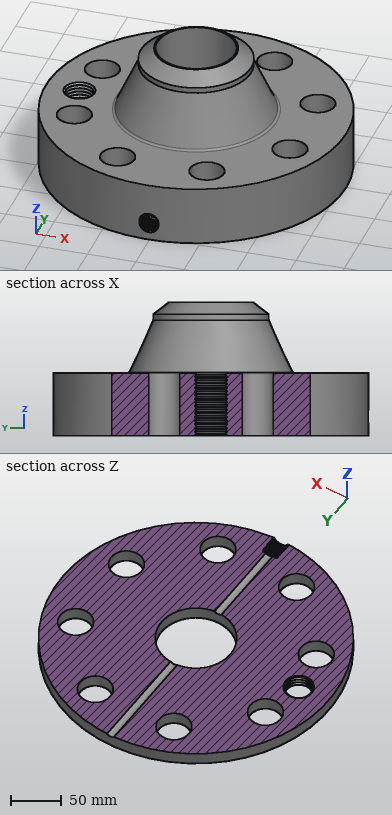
import cadquery as cq
import math

INCH = 25.4

flange_diameter = 12.25 * INCH
flange_thickness = 62.0
bore_diameter = 80.06

overall_height = 131.88
hub_base_diameter = 162.0
neck_diameter = 4.5 * INCH
hub_fillet_radius = 3.0
collar_height = 5.8
root_face_width = 1.6
bevel_angle = 37.5

bolt_circle_diameter = 9.5 * INCH
bolt_hole_diameter = 1.375 * INCH
bolt_count = 8

jack_major_diameter = 1.25 * INCH
jack_pitch = INCH / 7

tap_height = 0.75 * INCH
tap_major_diameter = 0.84 * INCH
tap_pitch = INCH / 14
tap_thread_count = 12
tap_bore_diameter = 0.5 * INCH
pipe_thread_taper = 1 / 16

straight_thread_depth = 0.54
pipe_thread_depth = 0.8


def thread_cutter(major_diameter, pitch, count, depth, taper=0.0):
    """Cutter with V-shaped ring grooves along +Z from the origin; taper is diameter lost per length."""

    def groove_radius(z):
        return (major_diameter - taper * z) / 2

    length = count * pitch
    outline = [(0, 0), (groove_radius(0), 0)]
    for turn in range(count):
        ridge_z = (turn + 0.5) * pitch
        groove_z = (turn + 1) * pitch
        outline.append((groove_radius(ridge_z) - depth, ridge_z))
        outline.append((groove_radius(groove_z), groove_z))
    outline.append((0, length))
    profile = cq.Workplane("XZ").polyline(outline).close()
    return profile.revolve(360, (0, 0, 0), (0, 1, 0))


def flange_with_neck():
    """Revolved flange and welding neck with the pipe bore."""
    bore_radius = bore_diameter / 2
    flange_radius = flange_diameter / 2
    neck_radius = neck_diameter / 2
    root_radius = bore_radius + root_face_width
    bevel_height = (neck_radius - root_radius) * math.tan(math.radians(bevel_angle))
    collar_top = overall_height - bevel_height
    collar_bottom = collar_top - collar_height
    profile = (
        cq.Workplane("XZ")
        .moveTo(bore_radius, 0)
        .lineTo(flange_radius, 0)
        .lineTo(flange_radius, flange_thickness)
        .lineTo(hub_base_diameter / 2, flange_thickness)
        .lineTo(neck_radius, collar_bottom)
        .lineTo(neck_radius, collar_top)
        .lineTo(root_radius, overall_height)
        .lineTo(bore_radius, overall_height)
        .close()
    )
    body = profile.revolve(360, (0, 0, 0), (0, 1, 0))
    flange_top_edges = body.faces("+Z").faces("<Z").edges("%CIRCLE")
    hub_base_edge = flange_top_edges.edges(cq.selectors.RadiusNthSelector(0))
    return hub_base_edge.fillet(hub_fillet_radius)


def bolt_holes():
    """Through holes on the bolt circle."""
    return (
        cq.Workplane("XY")
        .polarArray(bolt_circle_diameter / 2, 180 / bolt_count, 360, bolt_count)
        .circle(bolt_hole_diameter / 2)
        .extrude(flange_thickness)
    )


def jack_screw_hole():
    """Threaded through hole on the bolt circle, running down from the top of the flange."""
    turns = math.ceil(flange_thickness / jack_pitch)
    cutter = thread_cutter(jack_major_diameter, jack_pitch, turns, straight_thread_depth * jack_pitch)
    return cutter.rotate((0, 0, 0), (1, 0, 0), 180).translate(
        (-bolt_circle_diameter / 2, 0, flange_thickness)
    )


def pressure_tap():
    """Threaded entry on the -Y side and a plain cross bore that leaves on the +Y side."""
    thread = thread_cutter(
        tap_major_diameter,
        tap_pitch,
        tap_thread_count,
        pipe_thread_depth * tap_pitch,
        pipe_thread_taper,
    )
    cross_bore = cq.Workplane("XY").circle(tap_bore_diameter / 2).extrude(flange_diameter)
    tap = thread.union(cross_bore).rotate((0, 0, 0), (1, 0, 0), -90)
    return tap.translate((0, -flange_diameter / 2, tap_height))


result = flange_with_neck().cut(bolt_holes()).cut(jack_screw_hole()).cut(pressure_tap())